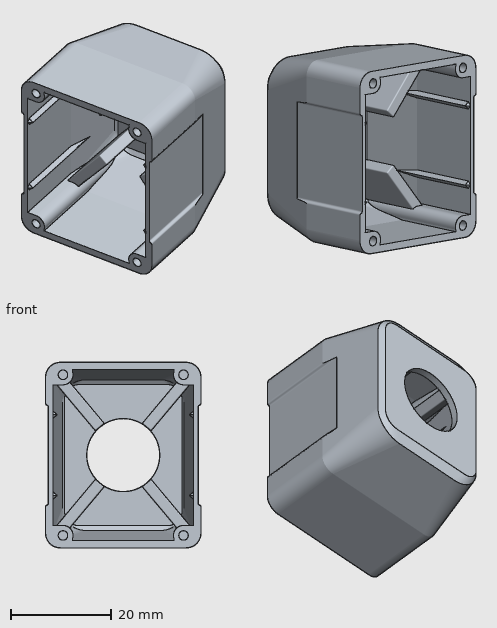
import cadquery as cq
import math


HALF_X = 15.5
HALF_Z = 18.5
LENGTH = 30.9
STRAIGHT_LENGTH = 15.9
BEVEL_START = 29.8
CORNER_RADIUS = 3.0
TAPER_HALF_X = 13.55
TAPER_HALF_Z = 16.5
TAPER_CORNER_RADIUS = 6.0
END_HALF_X = 12.5
END_HALF_Z = 14.4
END_CORNER_RADIUS = 3.2

WALL = 1.5
FLOOR_Y = LENGTH - WALL
CAVITY_BEVEL_START = 28.7
CAVITY_END_HALF_X = 11.68
CAVITY_END_HALF_Z = 14.03
CAVITY_END_CORNER_RADIUS = 2.8
SHAFT_HOLE_DIAMETER = 14.5

SCREW_X = 12.0
SCREW_Z = 16.0
SCREW_DIAMETER = 1.9
SCREW_DEPTH = 12.0
BOSS_RADIUS = 2.0
BOSS_BLOCK_X = 10.1
BOSS_BLOCK_Z = SCREW_Z - BOSS_RADIUS

RIB_WIDTH = 2.3
RIB_TOP_Y = 13.4
RIB_EDGE_RADIUS = 0.25
RIB_OUTER_REACH = 20.0

RECESS_DEPTH = 0.6
RECESS_LENGTH = 19.4
RECESS_CLEARANCE = 1.0
RECESS_FLOOR_HALF_Z = 9.55
RECESS_STEP_WIDTH = 0.8

RIDGE_Z = 8.05
RIDGE_WIDTH = 1.5
RIDGE_HEIGHT = 0.85
RIDGE_ROOT = 0.5
RIDGE_NOSE_LENGTH = 0.6

SIGNS = (-1, 1)


def xz_plane(y):
    """Sketch plane at the given Y, with +Y as normal, local x = -X and local y = Z."""
    return cq.Workplane(cq.Plane(origin=(0, y, 0), xDir=(-1, 0, 0), normal=(0, 1, 0)))


def lofted_body(sections):
    """Join rounded rectangles (y, half_x, half_z, corner_radius) with straight-sided lofts."""
    body = None
    for near, far in zip(sections, sections[1:]):
        outlines = []
        for y, half_x, half_z, corner_radius in (near, far):
            outlines.append(
                cq.Sketch()
                .rect(2 * half_x, 2 * half_z)
                .vertices()
                .fillet(corner_radius)
                .moved(cq.Location(cq.Vector(0, 0, y - near[0])))
            )
        piece = xz_plane(near[0]).placeSketch(*outlines).loft(ruled=True)
        body = piece if body is None else body.union(piece)
    return body


def outer_body():
    return lofted_body([
        (0, HALF_X, HALF_Z, CORNER_RADIUS),
        (STRAIGHT_LENGTH, HALF_X, HALF_Z, CORNER_RADIUS),
        (BEVEL_START, TAPER_HALF_X, TAPER_HALF_Z, TAPER_CORNER_RADIUS),
        (LENGTH, END_HALF_X, END_HALF_Z, END_CORNER_RADIUS),
    ])


def cavity():
    half_x = HALF_X - WALL
    half_z = HALF_Z - WALL
    taper_half_x = TAPER_HALF_X - WALL
    taper_half_z = TAPER_HALF_Z - WALL
    return lofted_body([
        (0, half_x, half_z, CORNER_RADIUS - WALL),
        (STRAIGHT_LENGTH, half_x, half_z, CORNER_RADIUS - WALL),
        (CAVITY_BEVEL_START, taper_half_x, taper_half_z, TAPER_CORNER_RADIUS - WALL),
        (FLOOR_Y, CAVITY_END_HALF_X, CAVITY_END_HALF_Z, CAVITY_END_CORNER_RADIUS),
    ])


def screw_post(sign_x, sign_z, radius, depth):
    """Cylinder on a screw axis, running inward from the rim."""
    return xz_plane(0).center(-sign_x * SCREW_X, sign_z * SCREW_Z).circle(radius).extrude(depth)


def corner_boss(sign_x, sign_z):
    """Round boss blended into the shell corner by a rectangular block."""
    post = screw_post(sign_x, sign_z, BOSS_RADIUS, FLOOR_Y)
    block_x = HALF_X - BOSS_BLOCK_X
    block_z = HALF_Z - BOSS_BLOCK_Z
    block = cq.Workplane().box(block_x, FLOOR_Y, block_z).translate(
        (sign_x * (HALF_X - block_x / 2), FLOOR_Y / 2, sign_z * (HALF_Z - block_z / 2)))
    corner_cut = cq.Workplane().box(block_x, FLOOR_Y, block_z).translate(
        (sign_x * (SCREW_X - block_x / 2), FLOOR_Y / 2, sign_z * (SCREW_Z - block_z / 2)))
    return block.cut(corner_cut).union(post)


def screw_hole(sign_x, sign_z):
    return screw_post(sign_x, sign_z, SCREW_DIAMETER / 2, SCREW_DEPTH)


def rib(sign_x, sign_z):
    """Tall rib running from the shaft hole out to a corner boss."""
    start = SHAFT_HOLE_DIAMETER / 2
    length = RIB_OUTER_REACH - start
    height = FLOOR_Y - RIB_TOP_Y
    bar = cq.Workplane().box(length, height, RIB_WIDTH).translate(
        (start + length / 2, RIB_TOP_Y + height / 2, 0))
    bar = bar.faces("<Y or <X").edges("not >Y").edges("not >X").fillet(RIB_EDGE_RADIUS)
    angle = math.degrees(math.atan2(sign_z * HALF_Z, sign_x * HALF_X))
    return bar.rotate((0, 0, 0), (0, 1, 0), -angle)


def side_recess(sign):
    """Cutter for one side recess; each step edge is a pair of opposed tangent arcs."""
    floor_x = HALF_X - RECESS_DEPTH
    half_step = RECESS_STEP_WIDTH / 2
    half_depth = RECESS_DEPTH / 2
    radius = (half_step ** 2 + half_depth ** 2) / RECESS_DEPTH
    outer_z = RECESS_FLOOR_HALF_Z + RECESS_STEP_WIDTH
    middle_z = RECESS_FLOOR_HALF_Z + half_step
    middle_x = floor_x + half_depth
    clear_x = HALF_X + RECESS_CLEARANCE
    cutter = (
        xz_plane(0)
        .moveTo(floor_x, -RECESS_FLOOR_HALF_Z)
        .lineTo(floor_x, RECESS_FLOOR_HALF_Z)
        .radiusArc((middle_x, middle_z), radius)
        .radiusArc((HALF_X, outer_z), -radius)
        .lineTo(clear_x, outer_z)
        .lineTo(clear_x, -outer_z)
        .lineTo(HALF_X, -outer_z)
        .radiusArc((middle_x, -middle_z), -radius)
        .radiusArc((floor_x, -RECESS_FLOOR_HALF_Z), radius)
        .close()
        .extrude(RECESS_LENGTH)
    )
    return cutter if sign < 0 else cutter.mirror("YZ")


def guide_ridge(sign_x, sign_z):
    """Triangular ridge with a pointed nose at the rim, fading into the tapered wall."""
    wall_x = HALF_X - WALL
    root_x = wall_x + RIDGE_ROOT
    tip_x = wall_x - RIDGE_HEIGHT
    half = RIDGE_WIDTH / 2
    ridge = (
        xz_plane(RIDGE_NOSE_LENGTH)
        .polyline([(root_x, -half), (wall_x, -half), (tip_x, 0), (wall_x, half), (root_x, half)])
        .close()
        .extrude(BEVEL_START - RIDGE_NOSE_LENGTH)
    )
    point = cq.Vector(-wall_x, 0, 0)
    top = cq.Vector(-tip_x, RIDGE_NOSE_LENGTH, 0)
    lower = cq.Vector(-wall_x, RIDGE_NOSE_LENGTH, -half)
    upper = cq.Vector(-wall_x, RIDGE_NOSE_LENGTH, half)
    triangles = [(point, lower, top), (point, top, upper), (point, upper, lower), (lower, upper, top)]
    faces = [cq.Face.makeFromWires(cq.Wire.makePolygon(triangle, close=True)) for triangle in triangles]
    nose = cq.Solid.makeSolid(cq.Shell.makeShell(faces))
    ridge = ridge.union(cq.Workplane(obj=nose)).translate((0, 0, sign_z * RIDGE_Z))
    return ridge if sign_x < 0 else ridge.mirror("YZ")


corners = [(sign_x, sign_z) for sign_x in SIGNS for sign_z in SIGNS]
outer = outer_body()
shaft_hole = xz_plane(0).circle(SHAFT_HOLE_DIAMETER / 2).extrude(LENGTH)

result = outer.cut(cavity()).cut(shaft_hole)
for corner_signs in corners:
    for feature in (corner_boss, rib, guide_ridge):
        result = result.union(feature(*corner_signs).intersect(outer))
    result = result.cut(screw_hole(*corner_signs))
for side in SIGNS:
    result = result.cut(side_recess(side))